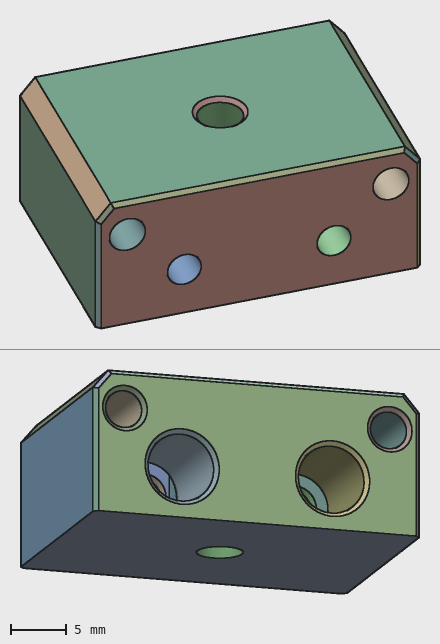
import cadquery as cq
import math

LENGTH_X = 21.89
WIDTH_Y = 30.8
HEIGHT_Z = 13.21

CORNER_RUN_Y = 1.45
CORNER_DROP_Z = 1.7

EDGE_BREAK = 0.4

CENTER_HOLE_SETBACK = 11.0
CENTER_HOLE_DIAMETER = 4.2

UPPER_HOLE_DIAMETER = 3.4
UPPER_HOLE_Y = 12.5
UPPER_HOLE_Z = 9.71

SCREW_HOLE_DIAMETER = 3.2
COUNTERBORE_DIAMETER = 6.2
SCREW_HOLE_Y = 7.1
SCREW_HOLE_Z = 4.71
COUNTERBORE_DEPTH = LENGTH_X / 2

RELIEF_START_OFFSET = 2.3
RELIEF_RADIUS = 7.5

ENTRY_X = -LENGTH_X / 2
FLOOR_X = ENTRY_X + COUNTERBORE_DEPTH
SIDES = (-1, 1)


def end_profile(inset):
    """Closed YZ outline with sloped upper corners, pulled in by inset except at the base."""
    half_width = WIDTH_Y / 2 - inset
    top = HEIGHT_Z - inset
    slope_length = math.hypot(CORNER_RUN_Y, CORNER_DROP_Z)
    run_shift = inset * (slope_length - CORNER_RUN_Y) / CORNER_DROP_Z
    drop_shift = inset * (slope_length - CORNER_DROP_Z) / CORNER_RUN_Y
    shoulder_y = WIDTH_Y / 2 - CORNER_RUN_Y - run_shift
    shoulder_z = HEIGHT_Z - CORNER_DROP_Z - drop_shift
    return [
        (-half_width, 0),
        (half_width, 0),
        (half_width, shoulder_z),
        (shoulder_y, top),
        (-shoulder_y, top),
        (-half_width, shoulder_z),
    ]


def make_body():
    """Block with bevelled end faces; the base edges stay sharp."""
    straight_length = LENGTH_X - 2 * EDGE_BREAK
    body = (
        cq.Workplane("YZ", origin=(-straight_length / 2, 0, 0))
        .polyline(end_profile(0)).close()
        .extrude(straight_length)
    )
    for side in SIDES:
        bevelled_end = (
            cq.Workplane("YZ", origin=(side * straight_length / 2, 0, 0))
            .polyline(end_profile(0)).close()
            .workplane(offset=side * EDGE_BREAK)
            .polyline(end_profile(EDGE_BREAK)).close()
            .loft(ruled=True)
        )
        body = body.union(bevelled_end)
    return body


def hole_cutter(diameter, depth, start, direction):
    """Cylinder cutter with a 45 degree countersunk mouth at its start point."""
    radius = diameter / 2
    point = cq.Vector(*start)
    axis = cq.Vector(*direction)
    bore = cq.Solid.makeCylinder(radius, depth, point, axis)
    mouth = cq.Solid.makeCone(radius + EDGE_BREAK, radius, EDGE_BREAK, point, axis)
    return cq.Workplane(bore.fuse(mouth))


def relief_cutter(side):
    """Part of the counterbore that runs past its floor, ending on a convex arc."""
    counterbore_radius = COUNTERBORE_DIAMETER / 2

    def arc_drop(offset):
        return math.sqrt(RELIEF_RADIUS**2 - offset**2)

    def arc_point(offset):
        drop = arc_drop(RELIEF_START_OFFSET) - arc_drop(offset)
        return (FLOOR_X + drop, side * (SCREW_HOLE_Y - offset))

    middle_offset = (RELIEF_START_OFFSET + counterbore_radius) / 2
    wedge = (
        cq.Workplane("XY", origin=(0, 0, SCREW_HOLE_Z))
        .moveTo(*arc_point(RELIEF_START_OFFSET))
        .threePointArc(arc_point(middle_offset), arc_point(counterbore_radius))
        .lineTo(FLOOR_X, side * (SCREW_HOLE_Y - counterbore_radius))
        .close()
        .extrude(counterbore_radius, both=True)
    )
    envelope = (
        cq.Workplane("YZ", origin=(ENTRY_X, side * SCREW_HOLE_Y, SCREW_HOLE_Z))
        .circle(counterbore_radius)
        .extrude(LENGTH_X)
    )
    return envelope.intersect(wedge)


def cut_center_hole(body):
    """Vertical through hole, countersunk at the top."""
    start = (ENTRY_X + CENTER_HOLE_SETBACK, 0, HEIGHT_Z)
    return body.cut(hole_cutter(CENTER_HOLE_DIAMETER, HEIGHT_Z, start, (0, 0, -1)))


def cut_upper_hole(body, side):
    """Plain through hole along X, countersunk at the -X face."""
    start = (ENTRY_X, side * UPPER_HOLE_Y, UPPER_HOLE_Z)
    return body.cut(hole_cutter(UPPER_HOLE_DIAMETER, LENGTH_X, start, (1, 0, 0)))


def cut_screw_hole(body, side):
    """Counterbored through hole along X with a relieved counterbore floor."""
    y = side * SCREW_HOLE_Y
    entry = (ENTRY_X, y, SCREW_HOLE_Z)
    floor = (FLOOR_X, y, SCREW_HOLE_Z)
    body = body.cut(hole_cutter(COUNTERBORE_DIAMETER, COUNTERBORE_DEPTH, entry, (1, 0, 0)))
    body = body.cut(hole_cutter(SCREW_HOLE_DIAMETER, LENGTH_X - COUNTERBORE_DEPTH, floor, (1, 0, 0)))
    return body.cut(relief_cutter(side))


result = cut_center_hole(make_body())
for hole_side in SIDES:
    result = cut_upper_hole(result, hole_side)
    result = cut_screw_hole(result, hole_side)